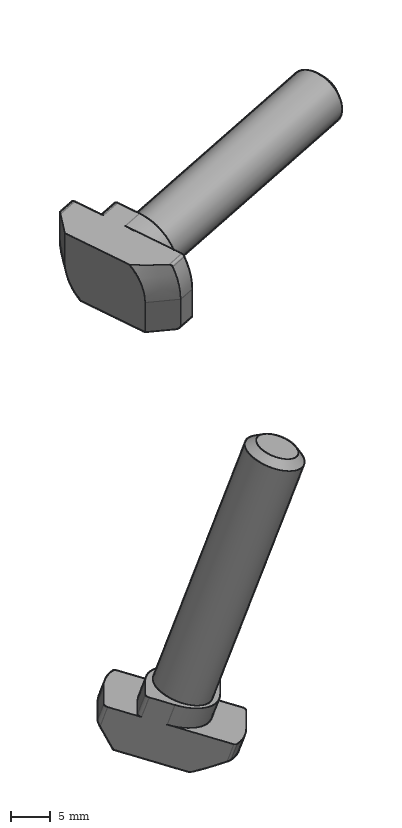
import cadquery as cq

total_length = 45.7
head_width = 19.0
head_height = 10.0
head_thickness = 5.65
bevel = 3.2
collar_length = 3.0
collar_size = head_height
collar_turn_radius = 6.1
corner_radius = 0.5
shank_diameter = 8.0
tip_length = 1.0
tip_inset = 1.2

half_width = head_width / 2
half_height = head_height / 2
collar_back = head_thickness + collar_length
overlap = 0.45

square_corners = [(-1, 1), (1, -1)]
turned_corners = [(1, 1), (-1, -1)]


def block(width, height, start, end):
    """Rectangular block centred on the bolt axis between two Y positions."""
    length = end - start
    return cq.Workplane("XY").box(width, length, height).translate((0, (start + end) / 2, 0))


def quadrant(side_x, side_z):
    """Quarter of the head's bounding block, on the given sides of the axis."""
    quarter = block(half_width, half_height, 0, head_thickness)
    return quarter.translate((side_x * half_width / 2, 0, side_z * half_height / 2))


def corner_edge(body, side_x, side_z):
    """Select the lengthwise edge of a block at one corner."""
    return body.edges("|Y").edges(">X" if side_x > 0 else "<X").edges(">Z" if side_z > 0 else "<Z")


def make_head():
    front_half_width = half_width - bevel
    beveled = (
        cq.Workplane("XY")
        .polyline([
            (-front_half_width, 0),
            (front_half_width, 0),
            (half_width, bevel),
            (half_width, head_thickness),
            (-half_width, head_thickness),
            (-half_width, bevel),
        ])
        .close()
        .extrude(half_height, both=True)
    )
    cone = (
        cq.Workplane("XY")
        .polyline([
            (0, 0),
            (front_half_width, 0),
            (half_width, bevel),
            (half_width, head_thickness),
            (0, head_thickness),
        ])
        .close()
        .revolve(360, (0, 0, 0), (0, 1, 0))
    )
    turning = cq.Workplane("XZ").circle(half_width).extrude(-head_thickness)
    blank = block(head_width, head_height, 0, head_thickness)
    for side_x, side_z in turned_corners:
        blank = blank.cut(quadrant(side_x, side_z).cut(turning))
    blank = blank.edges("|Y").edges(">Z or <Z").fillet(corner_radius)

    head = blank.intersect(beveled)
    for side_x, side_z in turned_corners:
        head = head.cut(quadrant(side_x, side_z).cut(cone))
    return head


def make_collar():
    collar = block(collar_size, collar_size, head_thickness, collar_back)
    for side_x, side_z in square_corners:
        collar = corner_edge(collar, side_x, side_z).fillet(corner_radius)
    for side_x, side_z in turned_corners:
        collar = corner_edge(collar, side_x, side_z).fillet(collar_turn_radius)
    return collar


def make_shank():
    radius = shank_diameter / 2
    return (
        cq.Workplane("XY")
        .polyline([
            (0, collar_back - overlap),
            (radius, collar_back - overlap),
            (radius, total_length - tip_length),
            (radius - tip_inset, total_length),
            (0, total_length),
        ])
        .close()
        .revolve(360, (0, 0, 0), (0, 1, 0))
    )


result = make_head().union(make_collar()).union(make_shank())